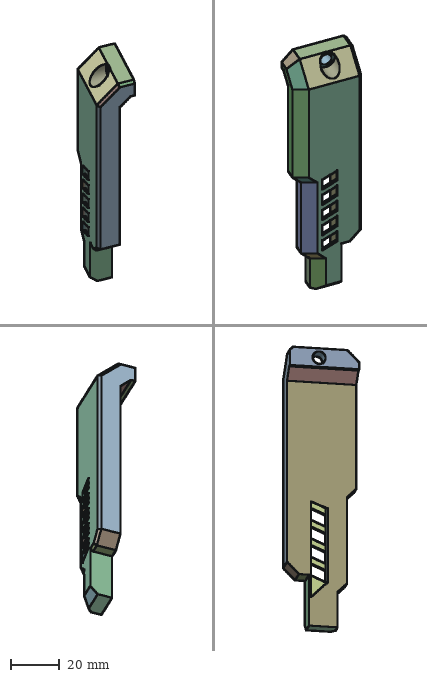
import cadquery as cq
import math

WIDTH = 29.0
DEPTH = 16.28
HEIGHT = 117.98

BODY_THICKNESS = 9.7
HEAD_SLOPE = 9.25
HEAD_THICKNESS = 8.0
HEAD_LEDGE = 1.9

STEP = 3.9
UPPER_STEP_Z = 60.35
LOWER_STEP_Z = 19.2
TAIL_LEFT = 2 * STEP
TAIL_RIGHT = 19.75
TAIL_TOP_Z = 22.0
CORNER_CLIP = 5.0

LEFT_BEVEL = 5.1
RIGHT_BEVEL = 1.2
TAIL_BEVEL = 3.3

HOLE_X = 16.85
HOLE_BELOW_TOP = 4.05
HOLE_DIAMETER = 5.3
BORE_DIAMETER = 8.0
BORE_FLOOR_Y = 9.5

SLOT_COUNT = 5
SLOT_PITCH = 8.0
SLOT_LEFT = 11.15
SLOT_RIGHT = 17.9
SLOT_HEIGHT = 5.1
SLOT_SLANT = math.radians(22.5)
FIRST_SLOT_TOP_Z = 59.3
SKIN = 1.0

DUCT_LEFT_BACK = 11.95
DUCT_RIGHT = 18.9
DUCT_FLOOR_LEFT_Z = 20.2
DUCT_DROP_LEFT = 8.6
DUCT_DROP_RIGHT = 8.9

MARGIN = 0.01


def make_blank():
    """Side profile swept across X, trimmed to the front outline."""
    ledge_z = HEIGHT - HEAD_THICKNESS
    side_profile = [
        (0, 0),
        (BODY_THICKNESS, 0),
        (BODY_THICKNESS, ledge_z - (DEPTH - HEAD_LEDGE - BODY_THICKNESS)),
        (DEPTH - HEAD_LEDGE, ledge_z),
        (DEPTH, ledge_z),
        (DEPTH, HEIGHT),
        (HEAD_SLOPE, HEIGHT),
        (0, HEIGHT - HEAD_SLOPE),
    ]
    front_outline = [
        (0, HEIGHT),
        (0, UPPER_STEP_Z),
        (STEP, UPPER_STEP_Z - STEP),
        (STEP, LOWER_STEP_Z),
        (TAIL_LEFT, LOWER_STEP_Z - STEP),
        (TAIL_LEFT, 0),
        (TAIL_RIGHT, 0),
        (TAIL_RIGHT, TAIL_TOP_Z),
        (WIDTH - CORNER_CLIP, TAIL_TOP_Z),
        (WIDTH, TAIL_TOP_Z + CORNER_CLIP),
        (WIDTH, HEIGHT),
    ]
    swept = cq.Workplane("YZ").polyline(side_profile).close().extrude(WIDTH)
    trim = cq.Workplane("XZ").polyline(front_outline).close().extrude(-DEPTH)
    return swept.intersect(trim)


def front_edges(body, x_min, x_max, z_min):
    """Front edges of the body and head whose centres lie in the given range."""
    box = cq.selectors.BoxSelector
    front = box((x_min, -MARGIN, z_min), (x_max, MARGIN, HEIGHT))
    head = box((x_min, MARGIN, HEIGHT - HEAD_SLOPE), (x_max, HEAD_SLOPE, HEIGHT - MARGIN))
    top = box((x_min, HEAD_SLOPE, HEIGHT - MARGIN), (x_max, DEPTH - MARGIN, HEIGHT + MARGIN))
    return body.edges(front + head + top)


def bevel_front(body):
    """Wide bevel along the stepped left side, narrow one along the right, and one under the tail."""
    body = front_edges(body, -MARGIN, TAIL_LEFT + MARGIN, MARGIN).chamfer(LEFT_BEVEL)
    body = front_edges(body, TAIL_RIGHT + MARGIN, WIDTH + MARGIN, TAIL_TOP_Z - MARGIN).chamfer(RIGHT_BEVEL)
    wedge_corners = [(0, 0), (TAIL_BEVEL, 0), (0, TAIL_BEVEL)]
    tail_wedge = cq.Workplane("YZ").polyline(wedge_corners).close().extrude(WIDTH)
    return body.cut(tail_wedge)


def cylinder_along_y(diameter, y_start, y_end):
    """Cylinder on the axis of the screw hole."""
    start = cq.Vector(HOLE_X, y_start, HEIGHT - HOLE_BELOW_TOP)
    solid = cq.Solid.makeCylinder(diameter / 2, y_end - y_start, start, cq.Vector(0, 1, 0))
    return cq.Workplane(solid)


def cut_screw_hole(body):
    """Through hole with a flat-floored counterbore entering from the sloped face."""
    body = body.cut(cylinder_along_y(BORE_DIAMETER, 0, BORE_FLOOR_Y))
    return body.cut(cylinder_along_y(HOLE_DIAMETER, 0, DEPTH))


def slot_top_z(x):
    """Height of the top slot's slanted upper edge at a given X."""
    return FIRST_SLOT_TOP_Z + (x - SLOT_LEFT) * math.tan(SLOT_SLANT)


def cut_slots(body):
    """Column of slanted slots through the front skin."""
    left_top = slot_top_z(SLOT_LEFT)
    right_top = slot_top_z(SLOT_RIGHT)
    slot = (
        cq.Workplane("XZ")
        .moveTo(SLOT_LEFT, left_top)
        .lineTo(SLOT_RIGHT, right_top)
        .lineTo(SLOT_RIGHT, right_top - SLOT_HEIGHT)
        .lineTo(SLOT_LEFT, left_top - SLOT_HEIGHT)
        .close()
        .extrude(-SKIN)
    )
    for index in range(SLOT_COUNT):
        body = body.cut(slot.translate((0, 0, -index * SLOT_PITCH)))
    return body


def cut_duct(body):
    """Duct that narrows towards the back: its ceiling is a ramp, its floor runs parallel to the steps."""

    def section(left, drop_left, drop_right):
        """Corners of the duct across X and Z, its ceiling lowered by the two drops."""
        return [
            (left, slot_top_z(left) - drop_left),
            (DUCT_RIGHT, slot_top_z(DUCT_RIGHT) - drop_right),
            (DUCT_RIGHT, DUCT_FLOOR_LEFT_Z - (DUCT_RIGHT - SLOT_LEFT)),
            (left, DUCT_FLOOR_LEFT_Z - (left - SLOT_LEFT)),
        ]

    duct = (
        cq.Workplane("XZ", origin=(0, SKIN, 0))
        .polyline(section(SLOT_LEFT, 0, 0))
        .close()
        .workplane(offset=SKIN - BODY_THICKNESS)
        .polyline(section(DUCT_LEFT_BACK, DUCT_DROP_LEFT, DUCT_DROP_RIGHT))
        .close()
        .loft(ruled=True)
    )
    return body.cut(duct)


part = bevel_front(make_blank())
part = cut_screw_hole(part)
part = cut_slots(part)
result = cut_duct(part)